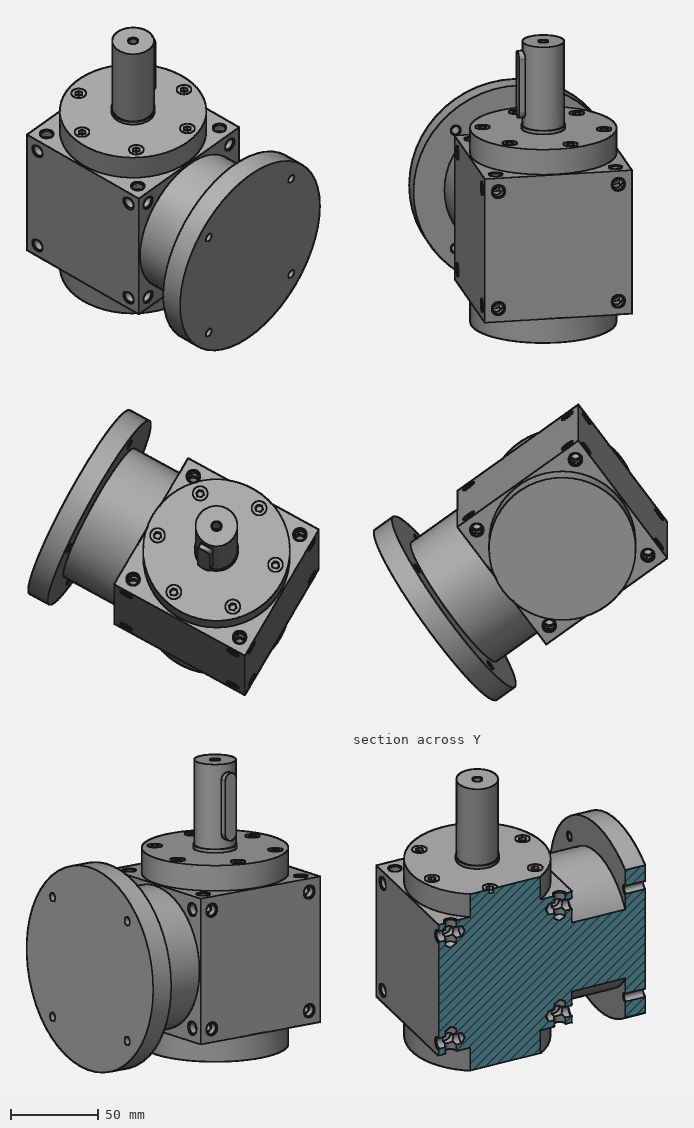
import cadquery as cq
import math


CUBE_SIZE = 86.0
COVER_DIAMETER = 84.0
COVER_FACE = 58.0
FLANGE_DIAMETER = 120.0
FLANGE_FACE = 90.0
FLANGE_THICKNESS = 13.0
FLANGE_HOLE_CIRCLE = 100.0
FLANGE_HOLE_DIAMETER = 5.0
FLANGE_HOLE_MOUTH = 6.0

MOUNT_HOLE_OFFSET = 35.0
MOUNT_HOLE_DIAMETER = 6.6
MOUNT_HOLE_MOUTH = 8.0
MOUNT_HOLE_DEPTH = 15.0

SCREW_COUNT = 6
SCREW_CIRCLE = 69.7
SCREW_START_ANGLE = 15
SCREW_HEAD_DIAMETER = 8.5
SCREW_HEAD_RECESS = 0.2
SOCKET_FLATS = 3.9
SOCKET_DEPTH = 2.5

SHAFT_DIAMETER = 24.0
SHAFT_END = 110.0
COLLAR_DIAMETER = 25.0
COLLAR_HEIGHT = 2.0
CENTRE_HOLE_DIAMETER = 5.0
CENTRE_HOLE_MOUTH = 6.0
CENTRE_HOLE_DEPTH = 15.0

KEY_WIDTH = 8.0
KEY_LENGTH = 40.0
KEY_HEIGHT = 7.0
KEY_TOP = 15.0

DRILL_POINT_ANGLE = 118

CUBE_FACE = CUBE_SIZE / 2
SHAFT_BASE = CUBE_FACE
FLANGE_BACK = FLANGE_FACE - FLANGE_THICKNESS
COLLAR_TOP = COVER_FACE + COLLAR_HEIGHT
KEY_CENTRE_Z = (COLLAR_TOP + SHAFT_END) / 2


def drilled_hole(diameter, mouth, depth):
    """Cutter going down from the origin: countersunk mouth, bore, conical drill point."""
    radius = diameter / 2
    mouth_radius = mouth / 2
    point_depth = radius / math.tan(math.radians(DRILL_POINT_ANGLE / 2))
    return (
        cq.Workplane("XZ")
        .moveTo(0, 0)
        .lineTo(mouth_radius, 0)
        .lineTo(radius, radius - mouth_radius)
        .lineTo(radius, -depth)
        .lineTo(0, -depth - point_depth)
        .close()
        .revolve(360, (0, 0, 0), (0, 1, 0))
    )


def cylinder(plane, diameter, start, end):
    """Cylinder about the normal of a plane through the origin, from start to end."""
    return cq.Workplane(plane).workplane(offset=start).circle(diameter / 2).extrude(end - start)


def mount_holes():
    """Four drilled holes in the top face, as one cutter."""
    hole = drilled_hole(MOUNT_HOLE_DIAMETER, MOUNT_HOLE_MOUTH, MOUNT_HOLE_DEPTH)
    cutter = cq.Workplane("XY")
    for x in (-MOUNT_HOLE_OFFSET, MOUNT_HOLE_OFFSET):
        for y in (-MOUNT_HOLE_OFFSET, MOUNT_HOLE_OFFSET):
            cutter = cutter.add(hole.translate((x, y, CUBE_FACE)))
    return cutter.combine()


def cut_mount_holes(body):
    """Repeat the four corner holes on all cube faces."""
    top_holes = mount_holes()
    origin = (0, 0, 0)
    for angle in (0, 90, 180, 270):
        body = body.cut(top_holes.rotate(origin, (1, 0, 0), angle))
    for angle in (-90, 90):
        body = body.cut(top_holes.rotate(origin, (0, 1, 0), angle))
    return body


def cut_cover_screws(body):
    """Sunk screw heads with hexagon sockets in the top cover."""
    head_face = COVER_FACE - SCREW_HEAD_RECESS
    socket_corners = SOCKET_FLATS / math.cos(math.pi / 6)
    head = cylinder("XY", SCREW_HEAD_DIAMETER, head_face, COVER_FACE)
    socket = (
        cq.Workplane("XY")
        .workplane(offset=head_face - SOCKET_DEPTH)
        .polygon(6, socket_corners)
        .extrude(SOCKET_DEPTH)
    )
    screw_space = head.union(socket).translate((SCREW_CIRCLE / 2, 0, 0))
    for index in range(SCREW_COUNT):
        angle = SCREW_START_ANGLE + index * 360 / SCREW_COUNT
        body = body.cut(screw_space.rotate((0, 0, 0), (0, 0, 1), angle))
    return body


def cut_flange_holes(body):
    """Four through holes in the motor flange, countersunk towards the cube."""
    offset = FLANGE_HOLE_CIRCLE / 2 / math.sqrt(2)
    hole = drilled_hole(FLANGE_HOLE_DIAMETER, FLANGE_HOLE_MOUTH, FLANGE_THICKNESS)
    hole = hole.rotate((0, 0, 0), (0, 1, 0), -90)
    for y in (-offset, offset):
        for z in (-offset, offset):
            body = body.cut(hole.translate((FLANGE_BACK, y, z)))
    return body


def make_housing():
    """Cube with covers, motor tube and flange, and a seat for the shaft."""
    body = cq.Workplane("XY").box(CUBE_SIZE, CUBE_SIZE, CUBE_SIZE)
    body = body.union(cylinder("XY", COVER_DIAMETER, -COVER_FACE, COVER_FACE))
    body = body.union(cylinder("YZ", COVER_DIAMETER, 0, FLANGE_FACE))
    body = body.union(cylinder("YZ", FLANGE_DIAMETER, FLANGE_BACK, FLANGE_FACE))
    body = cut_mount_holes(body)
    body = cut_cover_screws(body)
    body = cut_flange_holes(body)
    return body.cut(cylinder("XY", COLLAR_DIAMETER, SHAFT_BASE, COVER_FACE))


def make_key():
    """Round-ended key standing out of the shaft on the +Y side."""
    return (
        cq.Workplane("XZ", origin=(0, KEY_TOP, KEY_CENTRE_Z))
        .slot2D(KEY_LENGTH, KEY_WIDTH, 90)
        .extrude(KEY_HEIGHT)
    )


def make_shaft(key_body):
    """Stepped shaft with a centre hole in its end and a keyway fitting the key."""
    body = cylinder("XY", COLLAR_DIAMETER, SHAFT_BASE, COLLAR_TOP)
    body = body.union(cylinder("XY", SHAFT_DIAMETER, COLLAR_TOP, SHAFT_END))
    centre_hole = drilled_hole(CENTRE_HOLE_DIAMETER, CENTRE_HOLE_MOUTH, CENTRE_HOLE_DEPTH)
    return body.cut(centre_hole.translate((0, 0, SHAFT_END))).cut(key_body)


housing = make_housing()
key = make_key()
shaft = make_shaft(key)

result = cq.Compound.makeCompound([housing.val(), shaft.val(), key.val()])